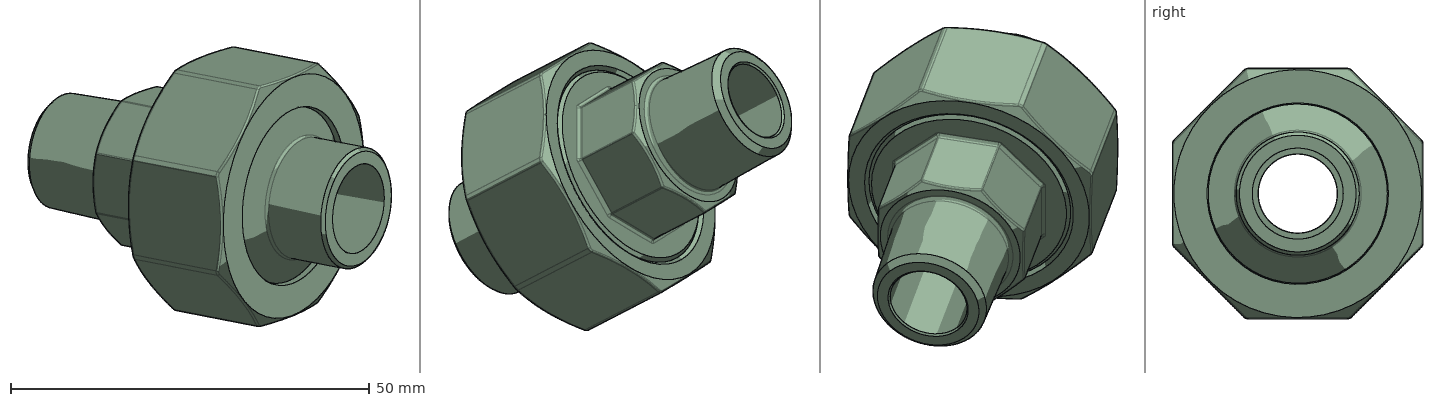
import cadquery as cq
import math


overall_length = 51.0
round_radius = 0.5
thread_radius = 14.5
cone_angle = 30.0
oct_sides = 8
edge_round = 0.35
union_face = 23.9
position_tolerance = 0.005

nut_right = 40.05
nut_flats = 35.0
nut_corner_radius = 1.0
nut_face_radius = 17.3
nut_mouth_radius = 30.0 / 2
nut_lip = 2.55
nut_hole_radius = 25.3 / 2

male_bore_radius = 11.0 / 2
male_bore_chamfer = 0.25
male_end_chamfer = 0.85
taper_small_radius = 8.15
taper_large_radius = 17.0 / 2
wrench_left = 12.95
wrench_flats = 21.0
wrench_corner_radius = 0.25
wrench_face_radius = 10.05
collar_face_radius = 28.0 / 2

tail_bore_radius = 12.7 / 2
tail_flange_radius = 28.35 / 2
tail_flange_thickness = 2.55
tail_shoulder_radius = 25.0 / 2
tail_tube_radius = 17.2 / 2
tail_cone_foot = 41.4
tail_cone_angle = 60.0
tail_end_chamfer = 0.45

nut_shoulder = nut_right - nut_lip
joint = nut_shoulder - tail_flange_thickness


def revolve_profile(profile):
    """Turn a closed (x, radius) profile about the X axis."""
    return profile.close().revolve(360, (0, 0, 0), (1, 0, 0))


def octagon_bar(left, right, flats, corner_radius):
    """Octagonal bar along X with flats facing Y and Z and rounded long edges."""
    across_corners = flats / math.cos(math.pi / oct_sides)
    return (
        cq.Workplane("YZ", origin=(left, 0, 0))
        .transformed(rotate=(0, 0, 180 / oct_sides))
        .polygon(oct_sides, across_corners)
        .extrude(right - left)
        .edges("|X")
        .fillet(corner_radius)
    )


def trim_corners(bar, face_x, direction, face_radius):
    """Cut the bar's corners with a cone widening from one end face, and round the cut's edges."""
    cone_reach = 2 * face_radius
    cone_length = cone_reach * math.tan(math.radians(cone_angle))
    cone_end = face_x + direction * cone_length
    near_face = cone_length / 2
    cone = revolve_profile(
        cq.Workplane("XY")
        .moveTo(face_x, 0)
        .lineTo(face_x, face_radius)
        .lineTo(cone_end, face_radius + cone_reach)
        .lineTo(cone_end, 0)
    )
    trimmed = bar.intersect(cone)
    curved_edges = trimmed.edges().filter(
        lambda edge: edge.geomType() in ("HYPERBOLA", "BSPLINE")
        and abs(edge.Center().x - face_x) < near_face
    )
    return curved_edges.fillet(edge_round)


def make_nut():
    """Octagonal nut with a stepped bore and a chamfered mouth."""
    bar = octagon_bar(union_face, nut_right, nut_flats, nut_corner_radius)
    body = trim_corners(bar, union_face, 1, nut_face_radius)
    body = trim_corners(body, nut_right, -1, nut_face_radius)
    mouth_depth = nut_mouth_radius - thread_radius
    bore = revolve_profile(
        cq.Workplane("XY")
        .moveTo(union_face, 0)
        .lineTo(union_face, nut_mouth_radius)
        .lineTo(union_face + mouth_depth, thread_radius)
        .lineTo(nut_shoulder, thread_radius)
        .lineTo(nut_shoulder, nut_hole_radius)
        .lineTo(nut_right, nut_hole_radius)
        .lineTo(nut_right, 0)
    )
    return body.cut(bore)


def make_wrench_grip():
    """Octagonal grip with its corners trimmed at the spigot end."""
    bar = octagon_bar(wrench_left, union_face, wrench_flats, wrench_corner_radius)
    return trim_corners(bar, wrench_left, 1, wrench_face_radius)


def make_collar():
    """Threaded collar, chamfered at its outer face."""
    collar_chamfer = thread_radius - collar_face_radius
    return revolve_profile(
        cq.Workplane("XY")
        .moveTo(union_face, 0)
        .lineTo(union_face, collar_face_radius)
        .lineTo(union_face + collar_chamfer, thread_radius)
        .lineTo(joint, thread_radius)
        .lineTo(joint, 0)
    )


def make_spigot():
    """Tapered spigot with a chamfered end and a concave round into the wrench grip."""
    taper_end = wrench_left - round_radius
    arc_shift = round_radius * math.sqrt(0.5)
    return revolve_profile(
        cq.Workplane("XY")
        .moveTo(0, 0)
        .lineTo(0, taper_small_radius - male_end_chamfer)
        .lineTo(male_end_chamfer, taper_small_radius)
        .lineTo(taper_end, taper_large_radius)
        .threePointArc(
            (taper_end + arc_shift, taper_large_radius + round_radius - arc_shift),
            (wrench_left, taper_large_radius + round_radius),
        )
        .lineTo(wrench_left, 0)
    )


def make_male_bore():
    """Through bore of the male end, chamfered at the spigot end."""
    return revolve_profile(
        cq.Workplane("XY")
        .moveTo(0, 0)
        .lineTo(0, male_bore_radius + male_bore_chamfer)
        .lineTo(male_bore_chamfer, male_bore_radius)
        .lineTo(joint, male_bore_radius)
        .lineTo(joint, 0)
    )


def make_male_end():
    """Spigot, wrench grip and collar in one piece, rounded where the grip meets the collar."""
    body = make_wrench_grip().union(make_collar())
    grip_foot = body.edges().filter(
        lambda edge: abs(edge.Center().x - union_face) < position_tolerance
        and edge.Length() < wrench_flats
    )
    body = grip_foot.fillet(round_radius)
    return body.union(make_spigot()).cut(make_male_bore())


def make_tail_end():
    """Turned tube with a cone, and a flange that bears on the nut lip."""
    cone_slope = math.tan(math.radians(tail_cone_angle))
    cone_start = tail_cone_foot - (tail_shoulder_radius - tail_tube_radius) / cone_slope
    body = revolve_profile(
        cq.Workplane("XY")
        .moveTo(joint, tail_bore_radius)
        .lineTo(joint, tail_flange_radius)
        .lineTo(nut_shoulder, tail_flange_radius)
        .lineTo(nut_shoulder, tail_shoulder_radius)
        .lineTo(cone_start, tail_shoulder_radius)
        .lineTo(tail_cone_foot, tail_tube_radius)
        .lineTo(overall_length - tail_end_chamfer, tail_tube_radius)
        .lineTo(overall_length, tail_tube_radius - tail_end_chamfer)
        .lineTo(overall_length, tail_bore_radius)
    )
    cone_foot = body.edges("%CIRCLE").filter(
        lambda edge: abs(edge.Center().x - tail_cone_foot) < position_tolerance
    )
    return cone_foot.fillet(round_radius)


nut = make_nut()
male_end = make_male_end()
tail_end = make_tail_end()

result = cq.Compound.makeCompound(
    [nut.solids().val(), male_end.solids().val(), tail_end.solids().val()]
)